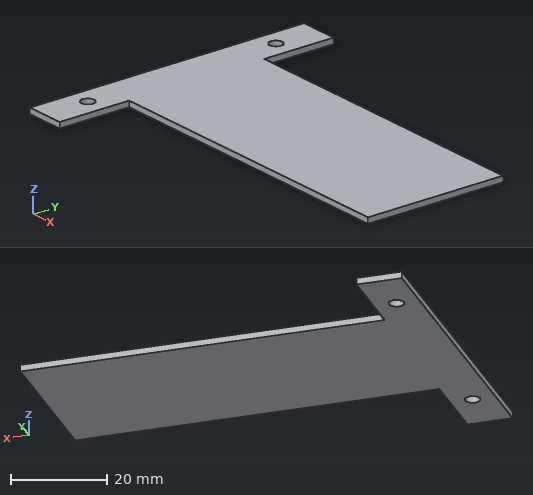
import cadquery as cq

length = 90.0
flange_width = 73.0
thickness = 1.5

flange_depth = 10.0
blade_width = 36.0

hole_diameter = 3.2
hole_spacing = 50.0


def make_crossbar():
    """Crossbar along Y, with its outer edge on X = 0."""
    return cq.Workplane("XY").box(flange_depth, flange_width, thickness, centered=(False, True, False))


def make_blade():
    """Blade running the full length, centred on the crossbar."""
    return cq.Workplane("XY").box(length, blade_width, thickness, centered=(False, True, False))


def make_holes():
    """Through holes on the centreline of the crossbar."""
    hole_x = flange_depth / 2
    hole_centres = [(hole_x, side * hole_spacing / 2) for side in (-1, 1)]
    return cq.Workplane("XY").pushPoints(hole_centres).circle(hole_diameter / 2).extrude(thickness)


result = make_crossbar().union(make_blade()).cut(make_holes())